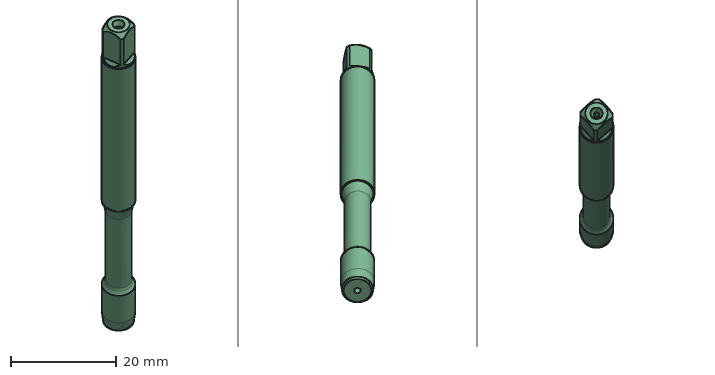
import cadquery as cq
import math


total_length = 80.0
head_length = 10.0

thread_radius = 6.43 / 2
lead_length = 2.8
lead_radius = 2.97
nose_chamfer = 0.35
nose_radius = lead_radius - nose_chamfer
head_bore_radius = 1.2 / 2

shank_radius = 6.48 / 2
neck_radius = 5.08 / 2
shoulder_height = 32.7
shoulder_cone_length = 2.7
shoulder_cone_radius = 3.02
neck_top = shoulder_height - shoulder_cone_length
flare_angle = math.radians(30)
flare_blend_radius = 1.3
flare_top = head_length + (thread_radius - neck_radius) / math.tan(flare_angle)
shank_bore_radius = 1.1 / 2

drive_radius = 6.22 / 2
shank_chamfer = shank_radius - drive_radius
shank_top = 71.15
square_width = 4.85
square_length = 7.85
square_bottom = total_length - square_length
end_radius = 2.13
end_chamfer = drive_radius - end_radius

centre_radius = 2.3 / 2
centre_angle = math.radians(30)
centre_depth = (centre_radius - shank_bore_radius) / math.tan(centre_angle)


def make_head():
    """Threaded head, with a tapered lead, a chamfered nose and a through bore."""
    return (
        cq.Workplane("XZ")
        .moveTo(head_bore_radius, 0)
        .lineTo(nose_radius, 0)
        .lineTo(lead_radius, nose_chamfer)
        .lineTo(thread_radius, lead_length)
        .lineTo(thread_radius, head_length)
        .lineTo(head_bore_radius, head_length)
        .close()
        .revolve(360, (0, 0, 0), (0, 1, 0))
    )


def make_turned_shank():
    """Shank with its neck, stepped shoulder cone, the flare onto the head, the bore and the centre hole."""
    blend = flare_blend_radius * math.tan(flare_angle / 2)
    blend_start = (
        neck_radius + blend * math.sin(flare_angle),
        flare_top - blend * math.cos(flare_angle),
    )
    blend_end = (neck_radius, flare_top + blend)
    arc_centre = (neck_radius + flare_blend_radius, flare_top + blend)
    blend_middle = (
        arc_centre[0] - flare_blend_radius * math.cos(flare_angle / 2),
        arc_centre[1] - flare_blend_radius * math.sin(flare_angle / 2),
    )
    return (
        cq.Workplane("XZ")
        .moveTo(shank_bore_radius, head_length)
        .lineTo(thread_radius, head_length)
        .lineTo(*blend_start)
        .threePointArc(blend_middle, blend_end)
        .lineTo(neck_radius, neck_top)
        .lineTo(shoulder_cone_radius, shoulder_height)
        .lineTo(shank_radius, shoulder_height)
        .lineTo(shank_radius, shank_top)
        .lineTo(drive_radius, shank_top + shank_chamfer)
        .lineTo(drive_radius, total_length - end_chamfer)
        .lineTo(end_radius, total_length)
        .lineTo(centre_radius, total_length)
        .lineTo(shank_bore_radius, total_length - centre_depth)
        .close()
        .revolve(360, (0, 0, 0), (0, 1, 0))
    )


def make_flat_cutter():
    """Prism that cuts one drive flat on the +X side, ending in a 45 degree run-out."""
    flat = square_width / 2
    cutter_depth = shank_radius
    cutter_half_width = 2 * shank_radius
    return (
        cq.Workplane("XZ")
        .moveTo(flat, square_bottom)
        .lineTo(flat + cutter_depth, square_bottom - cutter_depth)
        .lineTo(flat + cutter_depth, total_length)
        .lineTo(flat, total_length)
        .close()
        .extrude(cutter_half_width, both=True)
    )


def make_shank():
    """Turned shank with four flats cut to form the square drive."""
    shank = make_turned_shank()
    flat_cutter = make_flat_cutter()
    for side in range(4):
        shank = shank.cut(flat_cutter.rotate((0, 0, 0), (0, 0, 1), 90 * side))
    return shank


head = make_head()
shank = make_shank()

result = cq.Compound.makeCompound([head.val(), shank.val()])